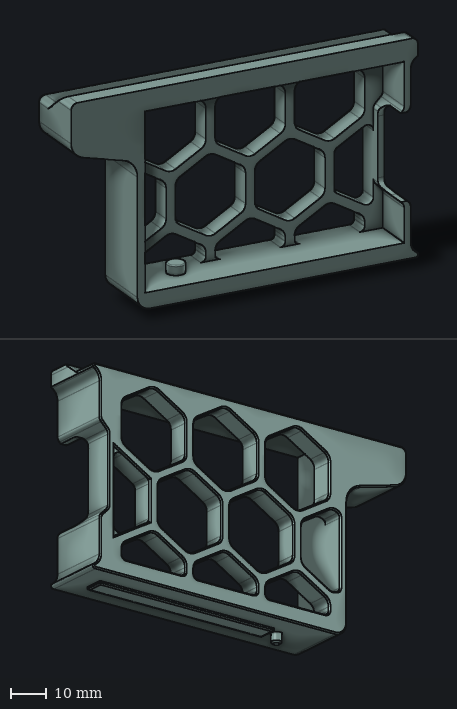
import cadquery as cq
import math

THICKNESS = 20.0
LENGTH = 109.0
LEDGE_Z = 61.6
TOP_Z = 65.9
REAR_Y = LENGTH / 2
FRONT_Y = -LENGTH / 2
EDGE_CHAMFER = 0.4

SLOPE_FOOT_X = 8.7
SLOPE_TOP_X = 14.6
END_ROUND = 2.0

REAR_SETBACK = 2.3
RECESS_STEP = 2.9
RECESS_HALF_HEIGHT = 14.4
TIP_HEIGHT = 1.2
TIP_ROUND = 0.8
TIP_ROOT_HEIGHT = 2.6
TIP_FILLET = 4.0
RECESS_FILLET = 2.0
MID_Z = LEDGE_Z / 2
REAR_WALL_Y = REAR_Y - REAR_SETBACK
RECESS_Y = REAR_WALL_Y - RECESS_STEP

PANEL_FRONT_Y = -33.7
NOSE_TIP_Z = 50.0
NOSE_SLOPE = math.radians(14)
NOSE_ROUND = 5.0
NOSE_FILLET = 6.0
FOOT_ROUND = 4.0

WEB_THICKNESS = 7.0
HEX_PITCH = 25.0
HEX_ACROSS_FLATS = 22.0
HEX_ROUND = 3.0
CLIP_ROUND = 1.5
REAR_OPENING_ROUND = 2.0
HEX_FIRST_Y = -16.5
HEX_FIRST_Z = 3.2
HEX_ROWS = 3
HEX_ROW_PITCH = HEX_PITCH * math.sqrt(3) / 2
HEX_COLUMNS = 3
FLOOR_Z = 5.0
CEILING_Z = 59.4
FRONT_WALL = 2.4
REAR_WALL = 2.1
INNER_FRONT_Y = PANEL_FRONT_Y + FRONT_WALL
INNER_REAR_Y = RECESS_Y - REAR_WALL

NOTCH_X = 9.6
NOTCH_HEIGHT = 26.6
NOTCH_ROUND = 4.0

TONGUE_WIDTH = 6.0
TONGUE_HEIGHT = 1.0
TONGUE_REAR_Y = 47.0
TONGUE_FRONT_Y = -13.5

SCREW_X = THICKNESS / 2
SCREW_Y = HEX_FIRST_Y
SCREW_HOLE_DIAMETER = 3.4
SHANK_DIAMETER = 3.0
SHANK_PROTRUSION = 3.0
SHANK_CHAMFER = 0.5
HEAD_DIAMETER = 5.5
HEAD_HEIGHT = 3.0
HEAD_ROUND = 0.3


def rounded_outline(corners):
    """Closed wire in the YZ plane through (y, z, radius) corners, each rounded by a tangent arc."""
    edges = []
    arcs = []
    for i, (y, z, radius) in enumerate(corners):
        corner = cq.Vector(0, y, z)
        before = cq.Vector(0, *corners[i - 1][:2])
        after = cq.Vector(0, *corners[(i + 1) % len(corners)][:2])
        to_before = (before - corner).normalized()
        to_after = (after - corner).normalized()
        half_angle = to_before.getAngle(to_after) / 2
        tangent_length = radius / math.tan(half_angle)
        bisector = (to_before + to_after).normalized()
        middle = corner + bisector * (radius / math.sin(half_angle) - radius)
        arcs.append((corner + to_before * tangent_length, middle, corner + to_after * tangent_length, radius))
    for i, (start, middle, end, radius) in enumerate(arcs):
        if radius > 0:
            edges.append(cq.Edge.makeThreePointArc(start, middle, end))
        next_start = arcs[(i + 1) % len(arcs)][0]
        edges.append(cq.Edge.makeLine(end, next_start))
    return cq.Wire.assembleEdges(edges)


def plate(corners, x_start, x_end):
    """Solid with a rounded YZ outline, reaching from x_start to x_end."""
    face = cq.Face.makeFromWires(rounded_outline(corners))
    solid = cq.Solid.extrudeLinear(face, cq.Vector(x_end - x_start, 0, 0))
    return cq.Workplane(solid.translate(cq.Vector(x_start, 0, 0)))


def recess_corners(outer_y, inner_y):
    """Corners of a 45 degree step from outer_y to inner_y and back, from top to bottom."""
    step = outer_y - inner_y
    outer_half = RECESS_HALF_HEIGHT
    inner_half = RECESS_HALF_HEIGHT - step
    radius = RECESS_FILLET
    return [
        (outer_y, MID_Z + outer_half, radius),
        (inner_y, MID_Z + inner_half, radius),
        (inner_y, MID_Z - inner_half, radius),
        (outer_y, MID_Z - outer_half, radius),
    ]


def make_frame_blank():
    nose_rise = (PANEL_FRONT_Y - FRONT_Y) * math.tan(NOSE_SLOPE)
    corners = [
        (FRONT_Y, LEDGE_Z, END_ROUND),
        (REAR_Y, LEDGE_Z, TIP_ROUND),
        (REAR_Y, LEDGE_Z - TIP_HEIGHT, 0),
        (REAR_WALL_Y, LEDGE_Z - TIP_ROOT_HEIGHT, TIP_FILLET),
        *recess_corners(REAR_WALL_Y, RECESS_Y),
        (REAR_WALL_Y, TIP_ROOT_HEIGHT, TIP_FILLET),
        (REAR_Y, TIP_HEIGHT, 0),
        (REAR_Y, 0, TIP_ROUND),
        (PANEL_FRONT_Y, 0, FOOT_ROUND),
        (PANEL_FRONT_Y, NOSE_TIP_Z - nose_rise, NOSE_FILLET),
        (FRONT_Y, NOSE_TIP_Z, NOSE_ROUND),
    ]
    return plate(corners, 0, THICKNESS)


def make_rail():
    base_z = LEDGE_Z - END_ROUND
    corners = [
        (FRONT_Y, TOP_Z, END_ROUND),
        (REAR_Y, TOP_Z, END_ROUND),
        (REAR_Y, LEDGE_Z - TIP_HEIGHT, 0),
        (REAR_WALL_Y, LEDGE_Z - TIP_ROOT_HEIGHT, 0),
        (FRONT_Y, base_z, 0),
    ]
    slope_run = (SLOPE_TOP_X - SLOPE_FOOT_X) / (TOP_Z - LEDGE_Z)
    root_z = LEDGE_Z - TIP_ROOT_HEIGHT
    root_x = SLOPE_FOOT_X - TIP_ROOT_HEIGHT * slope_run
    section = (
        cq.Workplane("XZ", origin=(0, REAR_Y, 0))
        .polyline([(root_x, root_z), (THICKNESS, root_z), (THICKNESS, TOP_Z), (SLOPE_TOP_X, TOP_Z)])
        .close()
        .extrude(LENGTH)
    )
    return plate(corners, 0, THICKNESS).intersect(section)


def make_hexagon(center_y, center_z):
    """Web opening: a pointed-up hexagon, clipped by the floor and the end walls."""
    corner_radius = HEX_ACROSS_FLATS / math.sqrt(3)
    points = []
    for i in range(6):
        angle = math.radians(30 + 60 * i)
        points.append((center_y + corner_radius * math.cos(angle), center_z + corner_radius * math.sin(angle)))
    hexagon = cq.Workplane("YZ").polyline(points).close().extrude(WEB_THICKNESS)
    window = cq.Workplane("XY").box(
        WEB_THICKNESS, INNER_REAR_Y - INNER_FRONT_Y, CEILING_Z - FLOOR_Z, centered=False
    ).translate((0, INNER_FRONT_Y, FLOOR_Z))
    opening = hexagon.edges("|X").fillet(HEX_ROUND).intersect(window)
    if center_z - corner_radius < FLOOR_Z:
        opening = opening.faces("<Z").edges("|X").fillet(CLIP_ROUND)
    if center_y - HEX_ACROSS_FLATS / 2 < INNER_FRONT_Y:
        opening = opening.faces("<Y").edges("|X").fillet(CLIP_ROUND)
    return opening


def make_honeycomb():
    """All web openings except the pointed one at the rear end."""
    openings = []
    for row in range(HEX_ROWS):
        shift = HEX_PITCH / 2 if row % 2 else 0
        for column in range(HEX_COLUMNS):
            openings.append(make_hexagon(HEX_FIRST_Y + column * HEX_PITCH - shift, HEX_FIRST_Z + row * HEX_ROW_PITCH))
    return openings


def make_rear_opening():
    """Half hexagon whose slanted sides run straight on to the rear wall, with a sharp bevel."""
    side_y = HEX_FIRST_Y + (HEX_COLUMNS - 0.5) * HEX_PITCH - HEX_ACROSS_FLATS / 2
    center_z = HEX_FIRST_Z + HEX_ROW_PITCH
    short_half = HEX_ACROSS_FLATS / math.sqrt(3) / 2
    long_half = short_half + (INNER_REAR_Y - side_y) * math.tan(math.radians(30))
    points = [
        (side_y, center_z - short_half),
        (INNER_REAR_Y, center_z - long_half),
        (INNER_REAR_Y, center_z + long_half),
        (side_y, center_z + short_half),
    ]
    outline = cq.Workplane("YZ").polyline(points).close()
    bevel = outline.offset2D(EDGE_CHAMFER, "intersection").extrude(EDGE_CHAMFER, taper=45)
    prism = cq.Workplane("YZ").polyline(points).close().extrude(WEB_THICKNESS).edges("|X").fillet(REAR_OPENING_ROUND)
    return prism.union(bevel)


def make_rear_space():
    inner_wall_y = REAR_WALL_Y - REAR_WALL
    corners = [
        (INNER_FRONT_Y, CEILING_Z, 0),
        (inner_wall_y, CEILING_Z, 0),
        *recess_corners(inner_wall_y, INNER_REAR_Y),
        (inner_wall_y, FLOOR_Z, 0),
        (INNER_FRONT_Y, FLOOR_Z, 0),
    ]
    return plate(corners, WEB_THICKNESS, THICKNESS)


def make_notch():
    depth = REAR_Y - INNER_REAR_Y
    return (
        cq.Workplane("XY")
        .box(THICKNESS, depth, NOTCH_HEIGHT, centered=(False, False, True))
        .edges("|Y and <X")
        .fillet(NOTCH_ROUND)
        .translate((NOTCH_X, INNER_REAR_Y, MID_Z))
    )


def make_tongue():
    length = TONGUE_REAR_Y - TONGUE_FRONT_Y
    return (
        cq.Workplane("XY")
        .box(TONGUE_WIDTH, length, TONGUE_HEIGHT, centered=(True, False, False))
        .translate((SCREW_X, TONGUE_FRONT_Y, -TONGUE_HEIGHT))
        .faces("<Z")
        .chamfer(EDGE_CHAMFER)
    )


def make_frame():
    frame = make_frame_blank()
    for opening in make_honeycomb():
        frame = frame.cut(opening)
    frame = frame.faces("<X").chamfer(EDGE_CHAMFER).cut(make_rear_opening())
    frame = frame.union(make_rail()).cut(make_rear_space()).cut(make_notch()).union(make_tongue())
    screw_hole = (
        cq.Workplane("XY").center(SCREW_X, SCREW_Y).circle(SCREW_HOLE_DIAMETER / 2).extrude(FLOOR_Z)
    )
    return frame.cut(screw_hole)


def make_screw():
    shank = (
        cq.Workplane("XY", origin=(SCREW_X, SCREW_Y, -SHANK_PROTRUSION))
        .circle(SHANK_DIAMETER / 2)
        .extrude(SHANK_PROTRUSION + FLOOR_Z)
        .faces("<Z")
        .chamfer(SHANK_CHAMFER)
    )
    head = (
        cq.Workplane("XY", origin=(SCREW_X, SCREW_Y, FLOOR_Z))
        .circle(HEAD_DIAMETER / 2)
        .extrude(HEAD_HEIGHT)
        .faces(">Z")
        .edges()
        .fillet(HEAD_ROUND)
    )
    return shank.union(head)


frame = make_frame()
screw = make_screw()
result = cq.Compound.makeCompound([frame.val(), screw.val()])